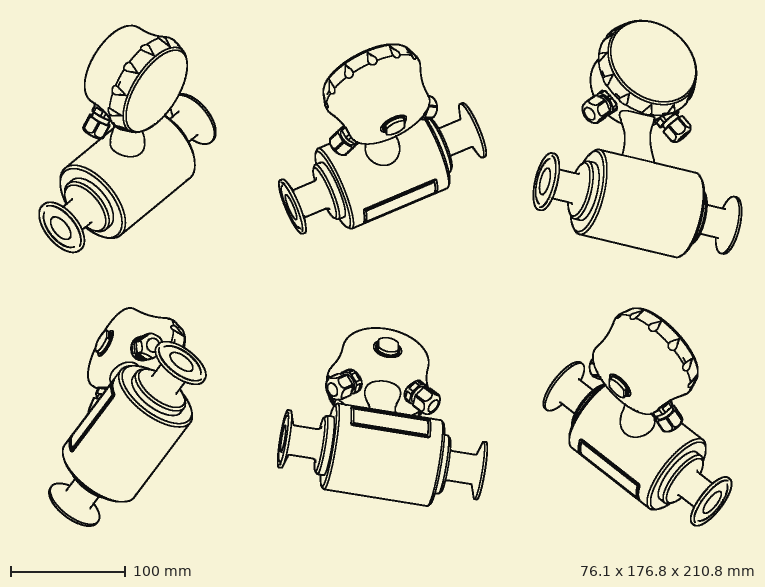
import cadquery as cq
import math

BODY_D = 76.1
BODY_R = BODY_D / 2
BODY_HALF = 48.0
COLLAR_R = 26.0
COLLAR_END = 55.9
EDGE_CHAMFER = 2.1
PIPE_R = 13.0
PIPE_FILLET = 4.9
TUBE_HALF = 88.4
BORE_D = 23.5
FERRULE_R = 25.5
FERRULE_RIM = 2.5
FERRULE_NECK_R = 14.3
FERRULE_NECK_Y = 82.0
FERRULE_BLEND_Y = 80.3
GASKET_GROOVE_R = 21.7
GASKET_GROOVE_D = 3.0
FERRULE_EDGE_R = 0.53

LABEL_LENGTH = 70.5
LABEL_HEIGHT = 26.2
LABEL_CORNER_R = 2.1
LABEL_LINE = 2.1
LABEL_DEPTH = 0.6

NECK_BASE_R = 15.0
NECK_WAIST_R = 11.2
NECK_BASE_TOP = 41.0
NECK_SHOULDER_R = 14.5
NECK_SHOULDER_Z = 44.3
NECK_TAPER_R = 13.5
NECK_TAPER_Z = 49.0
NECK_WAIST_BOTTOM = 65.0
NECK_WAIST_TOP = 69.4
NECK_FLARE_R = 33.7
NECK_FLARE_TOP = 77.6
NECK_TOP = 95.0

HEAD_Z = 127.4
BACK_X = -19.0
BACK_FLAT_R = 33.5
BACK_EDGE_R = 5.0
WALL_X = -13.7
WALL_R = 38.4
LID_SEAM_X = 15.2
LID_SEAM_D = 88.0
RIDGE_BACK_X = 19.0
RIDGE_FRONT_X = 21.7
RIDGE_D = 91.0
RIDGE_R = RIDGE_D / 2
LID_TAPER_X = 32.0
LID_TAPER_D = 84.5
LID_FACE_X = 34.0
LID_FACE_D = 81.2
GLASS_RISE = 0.8
CONE_BASE_R = 26.0
CONE_TOP_R = 15.5
CONE_TOP_X = -21.3
CONE_TIP_R = 12.5
CONE_TIP_X = -22.5

PLUG_R = 10.3
PLUG_BASE_R = 10.5
PLUG_BASE_X = -23.6
PLUG_X = -27.0
PLUG_TIP_X = -27.6
PLUG_FLAT_WIDTH = 17.3
PLUG_FLAT_X = -24.7

NOTCH_COUNT = 12
NOTCH_TIP_X = 31.0
NOTCH_HALF_ANGLE = 30.0
NOTCH_FLOOR_RISE = 7.8
NOTCH_LENGTH = 16.9

GLAND_X = -2.0
GLAND_ANGLE = 45.0
GLAND_SIDES = (-1, 1)
GLAND_SEAT = 35.9
LOWER_FLATS_START = 39.2
LOWER_END = 44.3
NUT_START = 49.0
GLAND_END = 63.5
LOWER_D = 21.0
GLAND_COLLAR_D = 16.0
NUT_D = 22.0
HEX_WIDTH = 19.6
CABLE_D = 12.0


def tube_body():
    """Plain round body between the two pipe ends."""
    body = cq.Workplane("XZ", origin=(0, BODY_HALF, 0)).circle(BODY_R).extrude(2 * BODY_HALF)
    return body.edges().chamfer(EDGE_CHAMFER)


def pipe_end():
    """The +Y collar, pipe and ferrule, as a solid of revolution about Y."""
    return (
        cq.Workplane("XY")
        .moveTo(0, BODY_HALF)
        .lineTo(COLLAR_R, BODY_HALF)
        .lineTo(COLLAR_R, COLLAR_END - EDGE_CHAMFER)
        .lineTo(COLLAR_R - EDGE_CHAMFER, COLLAR_END)
        .lineTo(PIPE_R + PIPE_FILLET, COLLAR_END)
        .radiusArc((PIPE_R, COLLAR_END + PIPE_FILLET), PIPE_FILLET)
        .lineTo(PIPE_R, FERRULE_BLEND_Y)
        .tangentArcPoint((FERRULE_NECK_R, FERRULE_NECK_Y), relative=False)
        .lineTo(FERRULE_R, TUBE_HALF - FERRULE_RIM)
        .lineTo(FERRULE_R, TUBE_HALF - FERRULE_EDGE_R)
        .radiusArc((FERRULE_R - FERRULE_EDGE_R, TUBE_HALF), -FERRULE_EDGE_R)
        .lineTo(0, TUBE_HALF)
        .close()
        .revolve(360, (0, 0, 0), (0, 1, 0))
    )


def gasket_groove():
    """Ring that cuts a half-round groove with rounded edges into the +Y ferrule face."""
    groove_r = GASKET_GROOVE_D / 2
    edge_centre_distance = groove_r + FERRULE_EDGE_R
    half_mouth = math.sqrt(edge_centre_distance**2 - FERRULE_EDGE_R**2)
    half_width = half_mouth * groove_r / edge_centre_distance
    edge_depth = FERRULE_EDGE_R * groove_r / edge_centre_distance
    return (
        cq.Workplane("XY")
        .moveTo(GASKET_GROOVE_R - half_mouth, TUBE_HALF)
        .radiusArc((GASKET_GROOVE_R - half_width, TUBE_HALF - edge_depth), FERRULE_EDGE_R)
        .threePointArc(
            (GASKET_GROOVE_R, TUBE_HALF - groove_r),
            (GASKET_GROOVE_R + half_width, TUBE_HALF - edge_depth),
        )
        .radiusArc((GASKET_GROOVE_R + half_mouth, TUBE_HALF), FERRULE_EDGE_R)
        .close()
        .revolve(360, (0, 0, 0), (0, 1, 0))
    )


def label_frame():
    """Rectangular frame that reaches LABEL_DEPTH below the -X side of the flow tube."""

    def rounded_block(length, height, corner):
        return cq.Workplane("XY").box(BODY_R, length, height).edges("|X").fillet(corner)

    outer = rounded_block(LABEL_LENGTH, LABEL_HEIGHT, LABEL_CORNER_R)
    inner = rounded_block(
        LABEL_LENGTH - 2 * LABEL_LINE, LABEL_HEIGHT - 2 * LABEL_LINE, LABEL_CORNER_R / 2
    )
    core = cq.Workplane("XZ", origin=(0, BODY_HALF, 0))
    core = core.circle(BODY_R - LABEL_DEPTH).extrude(2 * BODY_HALF)
    return outer.cut(inner).translate((-BODY_R, 0, 0)).cut(core)


def flow_tube():
    end = pipe_end().cut(gasket_groove())
    return tube_body().union(end).union(end.mirror("XZ"))


def neck():
    """Waisted neck, as a solid of revolution about Z that ends inside the head."""
    flare_angle = math.asin((NECK_FLARE_TOP - NECK_WAIST_TOP) / NECK_FLARE_R)
    flare_r = NECK_WAIST_R + NECK_FLARE_R * (1 - math.cos(flare_angle))
    top_r = flare_r + (NECK_TOP - NECK_FLARE_TOP) * math.tan(flare_angle)
    return (
        cq.Workplane("XZ")
        .moveTo(0, 0)
        .lineTo(NECK_BASE_R, 0)
        .lineTo(NECK_BASE_R, NECK_BASE_TOP)
        .tangentArcPoint((NECK_SHOULDER_R, NECK_SHOULDER_Z), relative=False)
        .lineTo(NECK_TAPER_R, NECK_TAPER_Z)
        .tangentArcPoint((NECK_WAIST_R, NECK_WAIST_BOTTOM), relative=False)
        .lineTo(NECK_WAIST_R, NECK_WAIST_TOP)
        .radiusArc((flare_r, NECK_FLARE_TOP), NECK_FLARE_R)
        .lineTo(top_r, NECK_TOP)
        .lineTo(0, NECK_TOP)
        .close()
        .revolve(360, (0, 0, 0), (0, 1, 0))
    )


def head_shell():
    """Head without its notches, as a solid of revolution about X."""
    return (
        cq.Workplane("XY")
        .moveTo(CONE_TIP_X, 0)
        .lineTo(CONE_TIP_X, CONE_TIP_R)
        .lineTo(CONE_TOP_X, CONE_TOP_R)
        .lineTo(BACK_X, CONE_BASE_R)
        .lineTo(BACK_X, BACK_FLAT_R)
        .radiusArc((WALL_X, WALL_R), BACK_EDGE_R)
        .tangentArcPoint((LID_SEAM_X, LID_SEAM_D / 2), relative=False)
        .lineTo(RIDGE_BACK_X, RIDGE_R)
        .lineTo(RIDGE_FRONT_X, RIDGE_R)
        .lineTo(LID_TAPER_X, LID_TAPER_D / 2)
        .lineTo(LID_FACE_X, LID_FACE_D / 2)
        .lineTo(LID_FACE_X + GLASS_RISE, 0)
        .close()
        .revolve(360, (0, 0, 0), (1, 0, 0))
    )


def plug():
    """Round plug with a slightly conical face and two flats on its outer end."""
    disc = (
        cq.Workplane("XY")
        .moveTo(CONE_TIP_X, 0)
        .lineTo(CONE_TIP_X, PLUG_BASE_R)
        .lineTo(PLUG_BASE_X, PLUG_BASE_R)
        .lineTo(PLUG_BASE_X, PLUG_R)
        .lineTo(PLUG_X, PLUG_R)
        .lineTo(PLUG_TIP_X, 0)
        .close()
        .revolve(360, (0, 0, 0), (1, 0, 0))
    )
    grip = cq.Workplane("XY").box(2 * PLUG_R, PLUG_FLAT_WIDTH, 2 * PLUG_R)
    grip = grip.translate((PLUG_FLAT_X - PLUG_R, 0, 0))
    base = cq.Workplane("XY").box(2 * PLUG_R, 2 * PLUG_R, 2 * PLUG_R)
    base = base.translate((PLUG_FLAT_X + PLUG_R, 0, 0))
    return disc.intersect(grip.union(base))


def lid_notches():
    """Conical cutters that widen and climb from a point on the lid taper towards the ridge."""
    taper_slope = (RIDGE_R - LID_TAPER_D / 2) / (LID_TAPER_X - RIDGE_FRONT_X)
    tip_r = RIDGE_R - taper_slope * (NOTCH_TIP_X - RIDGE_FRONT_X)
    cone = (
        cq.Workplane("XY")
        .polyline(
            [
                (0, 0),
                (-NOTCH_LENGTH, 0),
                (-NOTCH_LENGTH, NOTCH_LENGTH * math.tan(math.radians(NOTCH_HALF_ANGLE))),
            ]
        )
        .close()
        .revolve(360, (0, 0, 0), (1, 0, 0))
        .rotate((0, 0, 0), (0, 1, 0), NOTCH_HALF_ANGLE + NOTCH_FLOOR_RISE)
        .translate((NOTCH_TIP_X, 0, tip_r))
    )
    turn = 360 / NOTCH_COUNT
    return [cone.rotate((0, 0, 0), (1, 0, 0), index * turn) for index in range(NOTCH_COUNT)]


def head():
    shell = head_shell()
    for notch in lid_notches():
        shell = shell.cut(notch)
    return shell.union(plug()).translate((0, 0, HEAD_Z))


def hexagon(start, end):
    """Hexagonal bar along Z with two corners on the X axis."""
    return (
        cq.Workplane("XY", origin=(0, 0, start))
        .polygon(6, HEX_WIDTH / math.cos(math.pi / 6))
        .extrude(end - start)
    )


def round_bar(diameter, start, end):
    return cq.Workplane("XY", origin=(0, 0, start)).circle(diameter / 2).extrude(end - start)


def gland_nut():
    """Hexagonal nut with turned corners and an end rounded down to the cable hole."""
    rounding = (NUT_D - CABLE_D) / 2
    turned = (
        cq.Workplane("XZ")
        .moveTo(0, NUT_START)
        .lineTo(NUT_D / 2, NUT_START)
        .lineTo(NUT_D / 2, GLAND_END - rounding)
        .radiusArc((CABLE_D / 2, GLAND_END), -rounding)
        .lineTo(0, GLAND_END)
        .close()
        .revolve(360, (0, 0, 0), (0, 1, 0))
    )
    return turned.intersect(hexagon(NUT_START, GLAND_END))


def placed_on_head(shape, side):
    """Tilts a shape built along Z to point down and outwards from the head axis."""
    tilt = side * (180 - GLAND_ANGLE)
    return shape.rotate((0, 0, 0), (1, 0, 0), tilt).translate((GLAND_X, 0, HEAD_Z))


def gland(side):
    seat = round_bar(LOWER_D, GLAND_SEAT, LOWER_FLATS_START)
    lower = round_bar(LOWER_D, LOWER_FLATS_START, LOWER_END)
    lower = lower.intersect(hexagon(LOWER_FLATS_START, LOWER_END))
    collar = round_bar(GLAND_COLLAR_D, LOWER_END, NUT_START)
    solid = seat.union(lower).union(collar).union(gland_nut())
    solid = solid.cut(round_bar(CABLE_D, GLAND_SEAT, GLAND_END))
    return placed_on_head(solid, side)


def gland_pocket(side):
    return placed_on_head(round_bar(LOWER_D, GLAND_SEAT, GLAND_END), side)


def meter():
    """Flow tube, neck and head in one solid, bored through and recessed for the glands."""
    solid = flow_tube().union(neck()).union(head())
    bore = cq.Workplane("XZ", origin=(0, TUBE_HALF, 0)).circle(BORE_D / 2).extrude(2 * TUBE_HALF)
    solid = solid.cut(bore).cut(label_frame())
    for side in GLAND_SIDES:
        solid = solid.cut(gland_pocket(side))
    return solid


glands = [gland(side).val() for side in GLAND_SIDES]
result = cq.Compound.makeCompound([meter().val(), *glands])